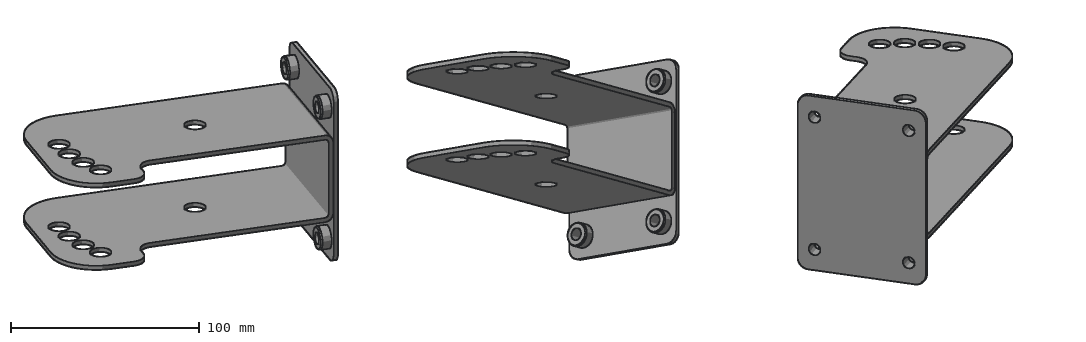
import cadquery as cq
import math

depth = 158.7
sheet = 2.5

plate_width = 72.0
plate_height = 100.0
plate_corner_radius = 6.0

boss_spacing_x = 53.0
boss_spacing_z = 76.0
boss_diameter = 12.9
boss_height = 6.0
boss_chamfer_radial = 0.5
boss_chamfer_axial = 1.0
screw_hole_diameter = 6.5

channel_width = 70.5
channel_height = 50.5
bend_inner_radius = 2.0
bend_outer_radius = bend_inner_radius + sheet

tab_right = 55.0
tab_length = 46.0
tab_fillet = 8.0
pick_margin = 1.6
front_corner_radius = 25.5

pin_hole_diameter = 11.5
pivot_to_front = 90.9
adjust_radius = 76.0
adjust_step = 10
adjust_count = 4

channel_back = -sheet
pivot_y = -depth + pivot_to_front


def box_between(x, y, z):
    """Box spanning the given (low, high) pairs."""
    size = [high - low for low, high in (x, y, z)]
    return cq.Workplane("XY").box(*size, centered=False).translate((x[0], y[0], z[0]))


def make_plate():
    return (
        box_between(
            (-plate_width / 2, plate_width / 2),
            (-sheet, 0),
            (-plate_height / 2, plate_height / 2),
        )
        .edges("|Y")
        .fillet(plate_corner_radius)
    )


def make_channel():
    """U-shaped sheet, wide enough to contain the side tabs."""
    half = channel_height / 2
    x = (-channel_width / 2, tab_right)
    outer = (
        box_between(x, (-depth, channel_back), (-half, half))
        .edges(">Y and |X")
        .fillet(bend_outer_radius)
    )
    inner = (
        box_between(x, (-depth, channel_back - sheet), (sheet - half, half - sheet))
        .edges(">Y and |X")
        .fillet(bend_inner_radius)
    )
    return outer.cut(inner)


def make_arm_outline():
    """Plan shape shared by both arms, as a tall block."""
    left = -channel_width / 2
    right = channel_width / 2
    tab_back = -depth + tab_length
    block = (
        cq.Workplane("XY", origin=(0, 0, -channel_height / 2))
        .moveTo(left, channel_back)
        .lineTo(left, -depth)
        .lineTo(tab_right, -depth)
        .lineTo(tab_right, tab_back)
        .lineTo(right, tab_back)
        .lineTo(right, channel_back)
        .close()
        .extrude(channel_height)
    )
    block = block.edges("|Z and <Y").fillet(front_corner_radius)
    tab_edges = cq.selectors.BoxSelector(
        (right - pick_margin, tab_back - pick_margin, -channel_height),
        (tab_right + pick_margin, tab_back + pick_margin, channel_height),
    )
    return block.edges("|Z").edges(tab_edges).fillet(tab_fillet)


def make_pin_holes():
    """Pivot hole and adjustment holes, running through both arms."""
    centres = [(0, pivot_y)]
    for index in range(adjust_count):
        angle = math.radians(index * adjust_step)
        x = adjust_radius * math.sin(angle)
        y = pivot_y - adjust_radius * math.cos(angle)
        centres.append((x, y))
    return (
        cq.Workplane("XY", origin=(0, 0, -channel_height / 2))
        .pushPoints(centres)
        .circle(pin_hole_diameter / 2)
        .extrude(channel_height)
    )


def make_boss():
    """Solid boss turned about Y, standing on the front of the plate and chamfered at its tip."""
    radius = boss_diameter / 2
    tip = -sheet - boss_height
    return (
        cq.Workplane("XY")
        .moveTo(0, 0)
        .lineTo(radius, 0)
        .lineTo(radius, tip + boss_chamfer_axial)
        .lineTo(radius - boss_chamfer_radial, tip)
        .lineTo(0, tip)
        .close()
        .revolve(360, (0, 0), (0, 1))
    )


def make_screw_bore():
    """Bore running through both boss and plate."""
    return cq.Workplane("XZ").circle(screw_hole_diameter / 2).extrude(sheet + boss_height)


bracket = make_channel().intersect(make_arm_outline()).cut(make_pin_holes())
result = make_plate().union(bracket)
for side in (-1, 1):
    for level in (-1, 1):
        place = (side * boss_spacing_x / 2, 0, level * boss_spacing_z / 2)
        result = result.union(make_boss().translate(place)).cut(make_screw_bore().translate(place))